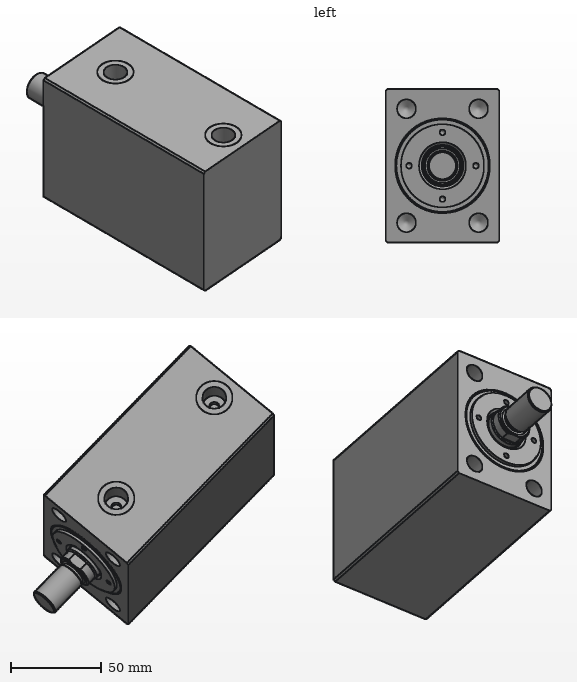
import cadquery as cq
import math


TOTAL_LENGTH = 156.0
ROD_PROJECTION = 35.0
HOUSING_LENGTH = TOTAL_LENGTH - ROD_PROJECTION
HOUSING_WIDTH = 63.0
HOUSING_HEIGHT = 85.0
EDGE_CHAMFER = 1.1

DRILL_POINT_ANGLE = 118.0

MOUNT_HOLE_DIAMETER = 10.5
MOUNT_HOLE_DEPTH = 25.0
MOUNT_SPACING_Y = 40.0
MOUNT_SPACING_Z = 63.0

PORT_FRONT_X = 25.1
PORT_REAR_SETBACK = 14.5
PORT_SEAT_DIAMETER = 20.1
PORT_SEAT_DEPTH = 0.2
PORT_DIAMETER = 13.1
PORT_DEPTH = 12.5
PORT_PASSAGE_DIAMETER = 5.6
PORT_PASSAGE_DEPTH = 15.6

GLAND_DIAMETER = 51.0
GLAND_LENGTH = 18.7
GLAND_SEAT_CHAMFER = 0.8
GLAND_BOSS_DIAMETER = 46.0
GLAND_BOSS_HEIGHT = 1.9
SPANNER_HOLE_COUNT = 4
SPANNER_HOLE_DIAMETER = 3.1
SPANNER_HOLE_DEPTH = 3.9
SPANNER_CIRCLE_DIAMETER = 37.0
GLAND_FRONT_X = -GLAND_BOSS_HEIGHT

WIPER_DIAMETER = 26.0
WIPER_MOUTH_DIAMETER = 23.1
WIPER_LENGTH = 6.2

ROD_DIAMETER = 22.0
COLLAR_DIAMETER = 20.9
COLLAR_NOSE_DIAMETER = 19.3
NECK_DIAMETER = 13.9
NECK_FLARE_DIAMETER = 16.7
THREAD_DIAMETER = 16.0
THREAD_TIP_CHAMFER = 0.6
ACROSS_FLATS = 19.0

THREAD_END = 22.3
NECK_START = 23.0
FLARE_START = 24.5
COLLAR_FACE = 25.0
COLLAR_START = 25.6
COLLAR_END = 30.7
ROD_START = 31.7


def cylinder_x(diameter, start_x, length):
    """Solid cylinder on the X axis, running from start_x toward +X."""
    return cq.Workplane("YZ", origin=(start_x, 0, 0)).circle(diameter / 2).extrude(length)


def revolve_x(profile):
    """Solid of revolution about the X axis from (x, radius) points."""
    return cq.Workplane("XY").polyline(profile).close().revolve(360, (0, 0, 0), (1, 0, 0))


def drilled_hole(diameter, depth, start_x, y, z):
    """Cutter for a blind hole drilled toward +X from start_x, with a conical bottom."""
    radius = diameter / 2
    point_length = radius / math.tan(math.radians(DRILL_POINT_ANGLE / 2))
    profile = [
        (0, 0),
        (0, radius),
        (depth, radius),
        (depth + point_length, 0),
    ]
    return revolve_x(profile).translate((start_x, y, z))


def port(x):
    """Stepped port sunk from the top face: shallow seat, threaded bore and narrow passage."""
    top = cq.Workplane("XY", origin=(x, 0, HOUSING_HEIGHT / 2))
    seat = top.circle(PORT_SEAT_DIAMETER / 2).extrude(-PORT_SEAT_DEPTH)
    bore = top.circle(PORT_DIAMETER / 2).extrude(-PORT_DEPTH)
    passage = top.circle(PORT_PASSAGE_DIAMETER / 2).extrude(-PORT_PASSAGE_DEPTH)
    return seat.union(bore).union(passage)


def gland_seat():
    """Recess for the gland, with a chamfered mouth."""
    radius = GLAND_DIAMETER / 2
    return revolve_x([
        (0, 0),
        (0, radius + GLAND_SEAT_CHAMFER),
        (GLAND_SEAT_CHAMFER, radius),
        (GLAND_LENGTH, radius),
        (GLAND_LENGTH, 0),
    ])


def make_housing():
    housing = cq.Workplane("XY").box(
        HOUSING_LENGTH, HOUSING_WIDTH, HOUSING_HEIGHT, centered=(False, True, True)
    )
    housing = housing.edges("|X").chamfer(EDGE_CHAMFER).cut(gland_seat())
    for y in (-MOUNT_SPACING_Y / 2, MOUNT_SPACING_Y / 2):
        for z in (-MOUNT_SPACING_Z / 2, MOUNT_SPACING_Z / 2):
            housing = housing.cut(drilled_hole(MOUNT_HOLE_DIAMETER, MOUNT_HOLE_DEPTH, 0, y, z))
    for x in (PORT_FRONT_X, HOUSING_LENGTH - PORT_REAR_SETBACK):
        housing = housing.cut(port(x))
    return housing


def make_gland():
    body = cylinder_x(GLAND_DIAMETER, 0, GLAND_LENGTH)
    boss = cylinder_x(GLAND_BOSS_DIAMETER, GLAND_FRONT_X, GLAND_BOSS_HEIGHT)
    rod_bore = cylinder_x(ROD_DIAMETER, GLAND_FRONT_X, GLAND_BOSS_HEIGHT + GLAND_LENGTH)
    wiper_seat = cylinder_x(WIPER_DIAMETER, GLAND_FRONT_X, WIPER_LENGTH)
    gland = body.union(boss).cut(rod_bore).cut(wiper_seat)
    for index in range(SPANNER_HOLE_COUNT):
        angle = 2 * math.pi * index / SPANNER_HOLE_COUNT
        y = SPANNER_CIRCLE_DIAMETER / 2 * math.cos(angle)
        z = SPANNER_CIRCLE_DIAMETER / 2 * math.sin(angle)
        gland = gland.cut(drilled_hole(SPANNER_HOLE_DIAMETER, SPANNER_HOLE_DEPTH, GLAND_FRONT_X, y, z))
    return gland


def make_wiper():
    """Ring whose front face is a 45 degree funnel leading down toward the rod."""
    mouth_depth = (WIPER_DIAMETER - WIPER_MOUTH_DIAMETER) / 2
    back_x = GLAND_FRONT_X + WIPER_LENGTH
    return revolve_x([
        (GLAND_FRONT_X, WIPER_DIAMETER / 2),
        (GLAND_FRONT_X + mouth_depth, WIPER_MOUTH_DIAMETER / 2),
        (GLAND_FRONT_X + mouth_depth, ROD_DIAMETER / 2),
        (back_x, ROD_DIAMETER / 2),
        (back_x, WIPER_DIAMETER / 2),
    ])


def wrench_flats():
    """Cutter that leaves two flats, facing +Z and -Z, on the collar."""
    length = COLLAR_END - FLARE_START
    start = cq.Workplane("YZ", origin=(FLARE_START, 0, 0))
    outside = start.rect(2 * ROD_DIAMETER, 2 * ROD_DIAMETER).extrude(length)
    kept = start.rect(2 * ROD_DIAMETER, ACROSS_FLATS).extrude(length)
    return outside.cut(kept)


def make_rod():
    """Rod ending flush with the back of the gland, outlined from its tip and then moved into place."""
    rod_length = ROD_PROJECTION + GLAND_LENGTH
    rod = revolve_x([
        (0, 0),
        (0, THREAD_DIAMETER / 2 - THREAD_TIP_CHAMFER),
        (THREAD_TIP_CHAMFER, THREAD_DIAMETER / 2),
        (THREAD_END, THREAD_DIAMETER / 2),
        (NECK_START, NECK_DIAMETER / 2),
        (FLARE_START, NECK_DIAMETER / 2),
        (COLLAR_FACE, NECK_FLARE_DIAMETER / 2),
        (COLLAR_FACE, COLLAR_NOSE_DIAMETER / 2),
        (COLLAR_START, COLLAR_DIAMETER / 2),
        (COLLAR_END, COLLAR_DIAMETER / 2),
        (ROD_START, ROD_DIAMETER / 2),
        (rod_length, ROD_DIAMETER / 2),
        (rod_length, 0),
    ])
    return rod.cut(wrench_flats()).translate((-ROD_PROJECTION, 0, 0))


housing = make_housing().solids()
gland = make_gland().solids()
wiper = make_wiper().solids()
rod = make_rod().solids()

result = cq.Compound.makeCompound([housing.val(), gland.val(), wiper.val(), rod.val()])